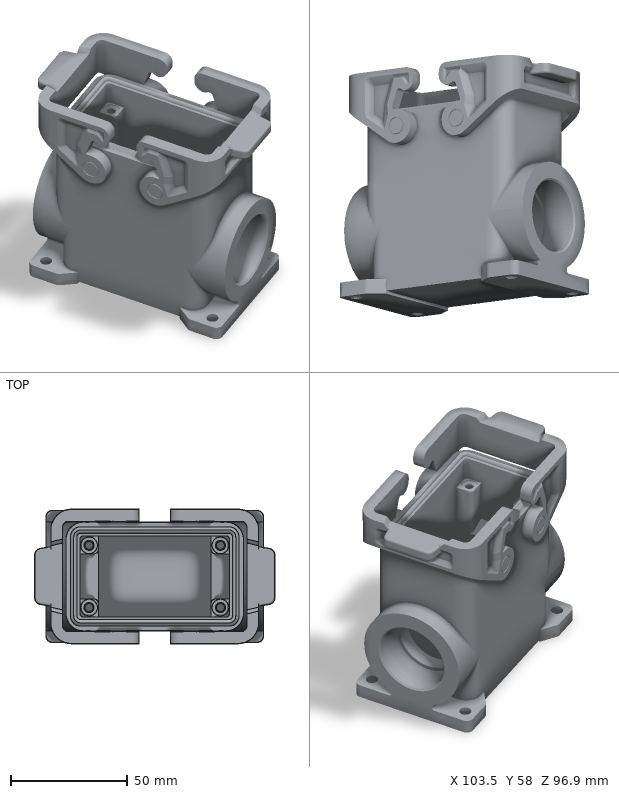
import cadquery as cq
import math

overall_length = 103.5
overall_width = 58.0
overall_height = 96.9

body_half_x = 38.2
body_half_y = 23.4
body_corner = 7.3
body_bottom = 1.3
rim_z = 79.8
lower_half_x = 34.8
lower_corner = 7.1

cavity_half_x = 32.25
cavity_half_y = 17.5
cavity_corner = 1.5
floor_z = 4.0
inner_wall_x = 24.3
ramp_top_z = 49.5
ramp_bottom_z = 46.5
post_width_y = 7.75
post_top_z = 69.0
post_corner = 1.8
screw_x = 28.3
screw_y = 13.4
screw_hole_radius = 1.75
screw_hole_chamfer = 0.4
screw_hole_depth = 12.0
screw_seat_radius = 3.6
screw_seat_depth = 0.3

bead_radius = 1.4
bead_half_x = 34.9
bead_half_y = 20.0
bead_corner = 3.0

entry_end_x = 46.9
entry_z = 30.0
entry_radius = body_half_y
bore_radius = 15.6
bore_chamfer = 0.7
bore_step_x = 31.7
narrow_bore_radius = 14.0
membrane = 1.0
web_half_width = 10.1
web_fillet = 0.9

foot_height = 6.3
foot_half_y = 28.5
foot_inner_x = 24.9
foot_shoulder_x = 32.0
foot_shoulder_fillet = 3.0
foot_corner = 3.0
foot_hole_radius = 2.6
foot_hole_x = 40.7
foot_hole_y = 23.0

lever_half_x = 44.8
lever_half_y = overall_width / 2
lever_wall = 5.05
lever_inner_half_y = 23.75
lever_corner = 9.1
lever_inner_corner = 2.8
lever_end_low_z = 82.7
pivot_x = 15.75
pivot_z = 71.75
pivot_radius = 7.5
hook_end_x = 6.7
hook_low_z = 86.8
hook_top_radius = 3.9
hook_low_radius = 4.5
catch_mouth_x = 11.9
catch_mouth_fillet = 0.5
catch_top_x = 15.0
catch_top_z = 88.7
catch_top_fillet = 1.5
catch_root_x = 18.2
catch_root_fillet = 0.6
pin_radius = 3.5
pin_gap = 0.4
pin_gap_depth = 0.5

recess_rim_corner = 2.2
recess_floor_corner = 0.8

side_recess_depth = 2.2
side_recess_slope = 3.0
side_recess_back_x = 31.9
side_recess_top_z = 94.5
side_recess_low_z = 77.4
side_floor_top_z = 91.0
side_floor_low_z = 78.6
front_wall_bend_z = 81.4
front_wall_foot_z = 77.3
rim_front_top_x = 16.3
rim_bend_x = 20.4
rim_foot_x = 20.0
rim_tip_x = 21.9
rim_tip_z = 71.1
floor_front_top_x = 20.4
floor_bend_x = 23.6
floor_foot_x = 23.8
floor_tip_x = 24.2
floor_tip_z = 75.9
recess_tip_width = 0.8

hook_groove_depth = 1.0
hook_groove_start_x = 17.5
hook_groove_under_x = 12.6
hook_groove_under_z = 92.0
hook_groove_end_x = 9.2
hook_groove_low_z = 89.3
hook_groove_tip_width = 0.8
hook_groove_slope = 1.0
hook_groove_floor_width = 0.3

end_recess_depth = 1.75
end_recess_slope = 2.3
end_recess_half_y = 19.3
end_recess_low_z = 84.4
end_recess_top_z = 93.2

tab_low_z = 90.4
tab_top_z = 95.0
tab_root_half_y = 13.6
tab_tip_half_y = 11.7
tab_corner = 3.0
tab_edge_fillet = 0.9
notch_half_y = 13.2
notch_flare = 1.7
notch_widening = 1.2


def mirrored_x(shape):
    """The shape together with its mirror image across the YZ plane."""
    return shape.union(shape.mirror("YZ"))


def mirrored_y(shape):
    """The shape together with its mirror image across the XZ plane."""
    return shape.union(shape.mirror("XZ"))


def rounded_box(half_x, half_y, corner, z_low, z_high):
    """An upright box centred on Z with rounded vertical edges."""
    box = cq.Workplane("XY").workplane(offset=z_low).rect(2 * half_x, 2 * half_y)
    return box.extrude(z_high - z_low).edges("|Z").fillet(corner)


def along_x(radius, x_low, x_high):
    """A round bar along X on the axis of the cable entries."""
    plane = cq.Workplane("YZ", origin=(x_low, 0, entry_z))
    return plane.circle(radius).extrude(x_high - x_low)


def unit(start, end):
    """Unit vector from one point towards another."""
    length = math.dist(start, end)
    return (end[0] - start[0]) / length, (end[1] - start[1]) / length


def rounded_outline(plane, corners):
    """A closed outline through (u, v, radius) corners, each rounded by its own radius."""
    wire = plane
    started = False
    for index, (u, v, radius) in enumerate(corners):
        corner = (u, v)
        before = unit(corner, corners[index - 1][:2])
        after = unit(corner, corners[(index + 1) % len(corners)][:2])
        if radius > 0:
            half_angle = math.acos(before[0] * after[0] + before[1] * after[1]) / 2
            reach = radius / math.tan(half_angle)
            bulge = radius / math.sin(half_angle) - radius
            middle = unit((0, 0), (before[0] + after[0], before[1] + after[1]))
            entry = (u + reach * before[0], v + reach * before[1])
            crown = (u + bulge * middle[0], v + bulge * middle[1])
            leave = (u + reach * after[0], v + reach * after[1])
        else:
            entry = corner
        wire = wire.lineTo(*entry) if started else wire.moveTo(*entry)
        started = True
        if radius > 0:
            wire = wire.threePointArc(crown, leave)
    return wire.close()


def tapered_recess(plane, rim, floor, depth):
    """A recess with sloping walls between a rim outline and a floor outline."""
    inner_plane = plane.workplane(offset=-depth)
    rim_wire = rounded_outline(plane, rim).val()
    floor_wire = rounded_outline(inner_plane, floor).val()
    return cq.Workplane(cq.Solid.makeLoft([rim_wire, floor_wire], True))


def make_entry():
    """Left cable entry: round boss and the web that joins it to the foot."""
    boss = along_x(entry_radius, -entry_end_x, -inner_wall_x)
    web_root = entry_z - math.sqrt(entry_radius**2 - web_half_width**2)
    flare = web_half_width + 2 * web_fillet
    top = entry_z - math.sqrt(entry_radius**2 - flare**2)
    corners = [
        (-flare, 0, 0),
        (flare, 0, 0),
        (flare, foot_height, 0),
        (web_half_width, foot_height, web_fillet),
        (web_half_width, web_root, web_fillet / 2),
        (flare, top, 0),
        (0, entry_z, 0),
        (-flare, top, 0),
        (-web_half_width, web_root, web_fillet / 2),
        (-web_half_width, foot_height, web_fillet),
        (-flare, foot_height, 0),
    ]
    web = rounded_outline(cq.Workplane("YZ", origin=(-entry_end_x, 0, 0)), corners)
    return boss.union(web.extrude(entry_end_x - foot_inner_x))


def make_entry_bore():
    """Left blind bore: chamfered mouth, wide part, then a narrower part up to the membrane."""
    wide = along_x(bore_radius, -entry_end_x, -bore_step_x)
    mouth = cq.Workplane("YZ", origin=(-entry_end_x, 0, entry_z)).circle(bore_radius + bore_chamfer)
    mouth = mouth.workplane(offset=bore_chamfer).circle(bore_radius).loft()
    narrow = along_x(narrow_bore_radius, -bore_step_x, -inner_wall_x - membrane)
    return wide.union(mouth).union(narrow)


def make_foot():
    """Left mounting foot with shoulders that slant in to the body."""
    corners = [
        (-entry_end_x, -foot_half_y, foot_corner),
        (-foot_shoulder_x, -foot_half_y, foot_shoulder_fillet),
        (-foot_inner_x, -body_half_y, 0),
        (-foot_inner_x, body_half_y, 0),
        (-foot_shoulder_x, foot_half_y, foot_shoulder_fillet),
        (-entry_end_x, foot_half_y, foot_corner),
    ]
    foot = rounded_outline(cq.Workplane("XY"), corners).extrude(foot_height)
    holes = cq.Workplane("XY").pushPoints([(-foot_hole_x, -foot_hole_y), (-foot_hole_x, foot_hole_y)])
    return foot.cut(holes.circle(foot_hole_radius).extrude(foot_height))


def make_cavity():
    """Cavity between the inner walls, opening out over a ramp at each end, around the posts."""
    cavity = rounded_box(cavity_half_x, cavity_half_y, cavity_corner, floor_z, rim_z + 2 * bead_radius)
    ramp = cq.Workplane("XZ", origin=(0, cavity_half_y, 0)).polyline([
        (-cavity_half_x, floor_z),
        (-inner_wall_x, floor_z),
        (-inner_wall_x, ramp_bottom_z),
        (-cavity_half_x, ramp_top_z),
    ])
    ramp = ramp.close().extrude(2 * cavity_half_y)
    post_length = cavity_half_x - inner_wall_x
    post = cq.Workplane("XY", origin=(-cavity_half_x, cavity_half_y, floor_z))
    post = post.rect(post_length, -post_width_y, centered=False).extrude(post_top_z - floor_z)
    post = post.edges("|Z and >X and <Y").fillet(post_corner)
    screw = cq.Workplane("XY", origin=(-screw_x, screw_y, post_top_z))
    post = post.cut(screw.circle(screw_hole_radius).extrude(-screw_hole_depth))
    post = post.cut(screw.circle(screw_seat_radius).extrude(-screw_seat_depth))
    countersink = screw.workplane(offset=-screw_seat_depth).circle(screw_hole_radius + screw_hole_chamfer)
    countersink = countersink.workplane(offset=-screw_hole_chamfer).circle(screw_hole_radius).loft()
    post = post.cut(countersink)
    return cavity.cut(mirrored_x(ramp.union(mirrored_y(post))))


def make_bead():
    """Sealing bead swept around the rim: a straight outer slope and a rounded inner side."""
    path = cq.Workplane("XY", origin=(0, 0, rim_z)).rect(2 * bead_half_x, 2 * bead_half_y).extrude(1)
    path = path.edges("|Z").fillet(bead_corner).faces("<Z").wires()
    slant = bead_radius * math.sqrt(0.5)
    profile = cq.Workplane("YZ", origin=(0, -bead_half_y, rim_z)).moveTo(-bead_radius, 0)
    profile = profile.lineTo(0, bead_radius)
    profile = profile.threePointArc((slant, slant), (bead_radius, 0)).close()
    return profile.sweep(path)


def make_lever_profile():
    """Left lever seen from the side: hooked arm, pivot eye and sloping underside."""
    eye_distance = math.dist((-lever_half_x, lever_end_low_z), (-pivot_x, pivot_z))
    dip = math.atan2(lever_end_low_z - pivot_z, lever_half_x - pivot_x)
    dip += math.asin(pivot_radius / eye_distance)
    tangent = (-pivot_x - pivot_radius * math.sin(dip), pivot_z - pivot_radius * math.cos(dip))
    corners = [
        (-lever_half_x, overall_height, 0),
        (-hook_end_x, overall_height, hook_top_radius),
        (-hook_end_x, hook_low_z, hook_low_radius),
        (-catch_mouth_x, hook_low_z, catch_mouth_fillet),
        (-catch_top_x, catch_top_z, catch_top_fillet),
        (-catch_root_x, pivot_z + pivot_radius, catch_root_fillet),
        (-pivot_x, pivot_z + pivot_radius, 0),
        (-pivot_x, pivot_z, 0),
        (tangent[0], tangent[1], 0),
        (-lever_half_x, lever_end_low_z, 0),
    ]
    plane = cq.Workplane("XZ", origin=(0, lever_half_y, 0))
    arm = rounded_outline(plane, corners).extrude(overall_width)
    eye = plane.center(-pivot_x, pivot_z).circle(pivot_radius).extrude(overall_width)
    return arm.union(eye)


def make_side_recess():
    """Deep recess in the front wall of the left lever, behind the hooked arm."""
    plane = cq.Workplane("XZ", origin=(0, -lever_half_y, 0))
    rim = [
        (-side_recess_back_x, side_recess_low_z, recess_rim_corner),
        (-side_recess_back_x, side_recess_top_z, recess_rim_corner),
        (-rim_front_top_x, side_recess_top_z, 0),
        (-rim_bend_x, front_wall_bend_z, 0),
        (-rim_foot_x, front_wall_foot_z, 0),
        (-rim_tip_x, rim_tip_z, 0),
        (-rim_tip_x - recess_tip_width, rim_tip_z, 0),
    ]
    floor_back_x = side_recess_back_x - side_recess_slope
    floor = [
        (-floor_back_x, side_floor_low_z, recess_floor_corner),
        (-floor_back_x, side_floor_top_z, recess_floor_corner),
        (-floor_front_top_x, side_floor_top_z, 0),
        (-floor_bend_x, front_wall_bend_z, 0),
        (-floor_foot_x, front_wall_foot_z, 0),
        (-floor_tip_x, floor_tip_z, 0),
        (-floor_tip_x - recess_tip_width, floor_tip_z, 0),
    ]
    return tapered_recess(plane, rim, floor, side_recess_depth)


def make_hook_groove():
    """Shallow groove in the front wall of the left lever, running out into the hook."""
    plane = cq.Workplane("XZ", origin=(0, -lever_half_y, 0))
    rim_tip_start_x = hook_groove_end_x + hook_groove_tip_width
    rim = [
        (-hook_groove_start_x, side_recess_top_z, 0),
        (-hook_groove_end_x, side_recess_top_z, 0),
        (-hook_groove_end_x, hook_groove_low_z, 0),
        (-rim_tip_start_x, hook_groove_low_z, 0),
        (-hook_groove_under_x, hook_groove_under_z, 0),
        (-hook_groove_start_x, hook_groove_under_z, 0),
    ]
    floor_end_x = hook_groove_end_x + hook_groove_slope
    floor_top_z = side_recess_top_z - hook_groove_slope
    floor_under_z = floor_top_z - hook_groove_floor_width
    floor_low_z = hook_groove_low_z + 2 * hook_groove_slope
    floor = [
        (-hook_groove_start_x, floor_top_z, 0),
        (-floor_end_x, floor_top_z, 0),
        (-floor_end_x, floor_low_z, 0),
        (-floor_end_x - hook_groove_floor_width, floor_low_z, 0),
        (-hook_groove_under_x, floor_under_z, 0),
        (-hook_groove_start_x, floor_under_z, 0),
    ]
    return tapered_recess(plane, rim, floor, hook_groove_depth)


def make_end_recess():
    """Recess in the end wall of the left lever."""
    plane = cq.Workplane("YZ", origin=(-lever_half_x, 0, 0))

    def outline(inset, corner):
        half_y = end_recess_half_y - inset
        low = end_recess_low_z + inset
        high = end_recess_top_z - inset
        return [
            (-half_y, low, corner),
            (half_y, low, corner),
            (half_y, high, corner),
            (-half_y, high, corner),
        ]

    rim = outline(0, recess_rim_corner)
    floor = outline(end_recess_slope, recess_floor_corner)
    return tapered_recess(plane, rim, floor, -end_recess_depth)


def make_tab():
    """Finger tab on the end of the left lever."""
    root_x = -lever_half_x + lever_wall
    corners = [
        (root_x, -tab_root_half_y, 0),
        (-overall_length / 2, -tab_tip_half_y, tab_corner),
        (-overall_length / 2, tab_tip_half_y, tab_corner),
        (root_x, tab_root_half_y, 0),
    ]
    plane = cq.Workplane("XY", origin=(0, 0, tab_low_z))
    tab = rounded_outline(plane, corners).extrude(tab_top_z - tab_low_z)
    return tab.faces("<X").edges("|Y").fillet(tab_edge_fillet)


def make_notch():
    """Flared notch in the top of the left lever end, level with the tab."""
    plane = cq.Workplane("XY", origin=(0, 0, tab_top_z))
    root_x = -lever_half_x + lever_wall
    inner = notch_half_y + notch_widening
    low = [(-lever_half_x, -notch_half_y), (root_x, -inner), (root_x, inner), (-lever_half_x, notch_half_y)]
    high = [(x, y + math.copysign(notch_flare, y)) for x, y in low]
    notch = plane.polyline(low).close().workplane(offset=overall_height - tab_top_z)
    return notch.polyline(high).close().loft(ruled=True)


def make_levers():
    """Both locking levers with recesses, tabs and pivot pins."""
    frame = rounded_box(lever_half_x, lever_half_y, lever_corner, 0, overall_height)
    inside = rounded_box(lever_half_x - lever_wall, lever_inner_half_y, lever_inner_corner, 0, overall_height)
    lever = frame.cut(inside).intersect(make_lever_profile())
    lever = lever.cut(mirrored_y(make_side_recess()))
    lever = lever.cut(mirrored_y(make_hook_groove()))
    lever = lever.cut(make_end_recess()).union(make_tab()).cut(make_notch())
    eye = cq.Workplane("XZ", origin=(-pivot_x, -lever_half_y, pivot_z))
    groove = eye.circle(pin_radius + pin_gap).circle(pin_radius).extrude(-pin_gap_depth)
    pin = eye.circle(pin_radius).extrude(cavity_half_y - lever_half_y)
    lever = lever.cut(mirrored_y(groove)).union(mirrored_y(pin))
    return mirrored_x(lever)


def make_part():
    """The whole housing with its feet, cable entries and levers."""
    upper = rounded_box(body_half_x, body_half_y, body_corner, entry_z, rim_z)
    lower = rounded_box(lower_half_x, body_half_y, lower_corner, body_bottom, entry_z)
    part = upper.union(lower).union(mirrored_x(make_entry())).union(make_bead())
    part = part.union(mirrored_x(make_foot()))
    part = part.cut(make_cavity()).cut(mirrored_x(make_entry_bore()))
    return part.union(make_levers())


result = make_part()